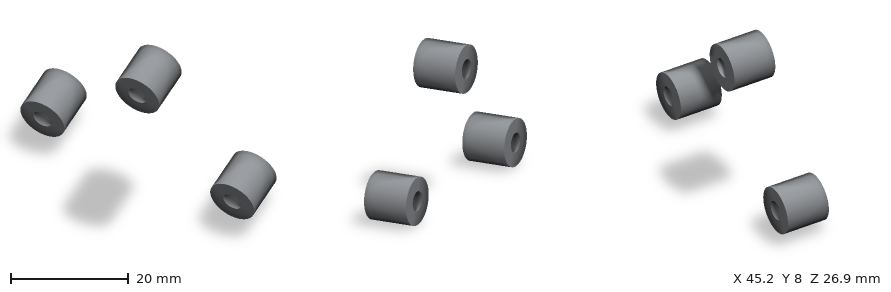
import cadquery as cq

overall_width = 45.25
outer_diameter = 8.5
bore_diameter = 3.5
spacer_length = 8.0

half_spacing = (overall_width - outer_diameter) / 2
apex_height = half_spacing
spacer_centres = [(-half_spacing, 0), (0, apex_height), (half_spacing, 0)]


def make_spacer(x, z):
    """Plain round spacer running from Y = 0 toward -Y, with a through bore."""
    return (
        cq.Workplane("XZ", origin=(x, 0, z))
        .circle(outer_diameter / 2)
        .circle(bore_diameter / 2)
        .extrude(spacer_length)
    )


spacers = [make_spacer(x, z) for x, z in spacer_centres]

result = cq.Compound.makeCompound([spacer.val() for spacer in spacers])